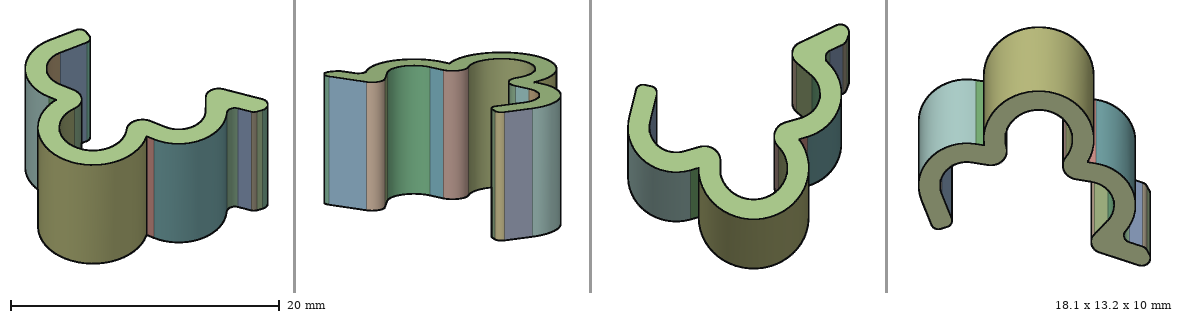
import cadquery as cq
import math

height = 10.0
wall = 1.6
middle_radius = 2.5
side_radius = 2.0
side_x = 4.55
side_y = 4.8
shoulder_radius = 1.2
arm_angle = 60
arm_length = 2.8
arm_end_radius = 0.55
lip_angle = 10
lip_tip = (9.34, 8.47)
lip_tip_radius = 0.65
lip_slant_angle = 53
lip_bend_radius = 0.96
lip_corner_radius = 0.6
lip_root_radius = 0.6

middle_outer = middle_radius + wall
side_outer = side_radius + wall
inner_floor = side_y - side_radius
outer_floor = side_y - side_outer
right_axis = (side_x, side_y)
left_axis = (-side_x, side_y)


def polar(center, radius, angle):
    """Point at a radius and an angle in degrees from a centre."""
    a = math.radians(angle)
    return (center[0] + radius * math.cos(a), center[1] + radius * math.sin(a))


def cross_lines(p, p_angle, q, q_angle):
    """Crossing of two lines, each given by a point and a slope."""
    a = math.radians(p_angle)
    b = math.radians(q_angle)
    dx = q[0] - p[0]
    dy = q[1] - p[1]
    along = (dx * math.sin(b) - dy * math.cos(b)) / math.sin(b - a)
    return polar(p, along, p_angle)


def cross_circle(p, angle, center, radius):
    """Crossing of a line and a circle on the far side along the line."""
    a = math.radians(angle)
    dx = center[0] - p[0]
    dy = center[1] - p[1]
    along = dx * math.cos(a) + dy * math.sin(a)
    offset = dy * math.cos(a) - dx * math.sin(a)
    return polar(p, along + math.sqrt(radius**2 - offset**2), angle)


def mirror(point):
    return (-point[0], point[1])


shoulder_y = inner_floor - shoulder_radius
shoulder_x = math.sqrt((middle_radius + shoulder_radius) ** 2 - shoulder_y**2)
shoulder = (shoulder_x, shoulder_y)
shoulder_angle = math.degrees(math.atan2(shoulder_y, shoulder_x))
shoulder_top = polar(shoulder, shoulder_radius, 90)
shoulder_mid = polar(shoulder, shoulder_radius, (270 + shoulder_angle) / 2)
shoulder_end = polar((0, 0), middle_radius, shoulder_angle)

notch = (math.sqrt(middle_outer**2 - outer_floor**2), outer_floor)

left_normal = 90 + arm_angle
left_inner = polar(left_axis, side_radius, left_normal)
left_outer = polar(left_axis, side_outer, left_normal)
left_inner_end = polar(left_inner, arm_length, arm_angle)
left_outer_end = polar(left_outer, arm_length, arm_angle)

right_normal = 90 - arm_angle
right_inner = polar(right_axis, side_radius, right_normal)
lip_top = polar(lip_tip, lip_tip_radius, 90 + lip_angle)
lip_bottom = polar(lip_top, wall, lip_angle - 90)
slant_normal = lip_slant_angle - 90
slant_start = polar(lip_tip, lip_tip_radius, slant_normal)
lip_mid = polar(lip_tip, lip_tip_radius, (90 + lip_angle + slant_normal) / 2)
lip_bend = cross_lines(right_inner, 180 - arm_angle, lip_top, lip_angle)
lip_corner = cross_lines(slant_start, lip_slant_angle, lip_bottom, lip_angle)
lip_root = cross_circle(lip_bottom, lip_angle, right_axis, side_outer)

outline = (
    cq.Workplane("XY")
    .moveTo(*left_inner_end)
    .lineTo(*left_inner)
    .threePointArc(polar(left_axis, side_radius, 210), polar(left_axis, side_radius, 270))
    .lineTo(*mirror(shoulder_top))
    .threePointArc(mirror(shoulder_mid), mirror(shoulder_end))
    .threePointArc((0, -middle_radius), shoulder_end)
    .threePointArc(shoulder_mid, shoulder_top)
    .lineTo(*polar(right_axis, side_radius, 270))
    .threePointArc(polar(right_axis, side_radius, 330), right_inner)
    .lineTo(*lip_bend)
    .lineTo(*lip_top)
    .threePointArc(lip_mid, slant_start)
    .lineTo(*lip_corner)
    .lineTo(*lip_root)
    .threePointArc(polar(right_axis, side_outer, 330), polar(right_axis, side_outer, 270))
    .lineTo(*notch)
    .threePointArc((0, -middle_outer), mirror(notch))
    .lineTo(*polar(left_axis, side_outer, 270))
    .threePointArc(polar(left_axis, side_outer, 210), left_outer)
    .lineTo(*left_outer_end)
    .close()
)
clip = outline.extrude(height)


def round_corner(body, corner, radius):
    """Round the upright edge that stands at an outline corner."""
    edge = cq.selectors.NearestToPointSelector((*corner, height / 2))
    return body.edges("|Z").edges(edge).fillet(radius)


for end_corner in (left_inner_end, left_outer_end):
    clip = round_corner(clip, end_corner, arm_end_radius)
clip = round_corner(clip, lip_bend, lip_bend_radius)
clip = round_corner(clip, lip_corner, lip_corner_radius)
clip = round_corner(clip, lip_root, lip_root_radius)

result = clip